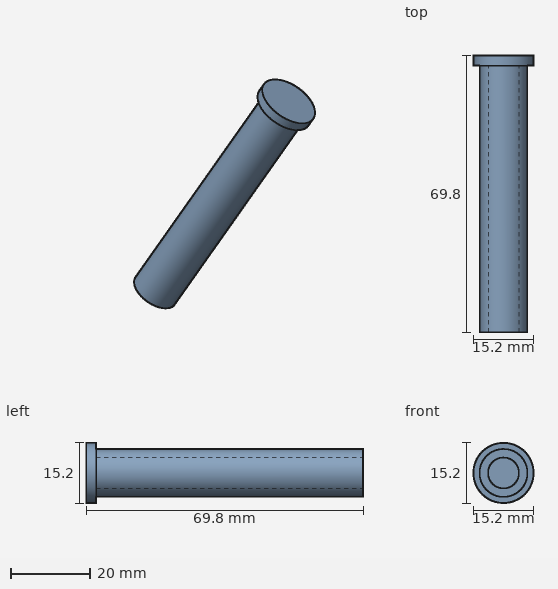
import cadquery as cq

total_length = 69.85
head_diameter = 15.24
head_thickness = 2.54
shank_diameter = 12.1
bore_diameter = 7.8

shank_length = total_length - head_thickness
bore_depth = shank_length


def cylinder_along_y(diameter, start_y, length):
    """Solid cylinder on the Y axis, running from start_y toward +Y."""
    plane = cq.Plane(origin=(0, start_y, 0), xDir=(1, 0, 0), normal=(0, 1, 0))
    return cq.Workplane(plane).circle(diameter / 2).extrude(length)


shank = cylinder_along_y(shank_diameter, 0, shank_length)
head = cylinder_along_y(head_diameter, shank_length, head_thickness)
bore = cylinder_along_y(bore_diameter, 0, bore_depth)

result = shank.union(head).cut(bore)